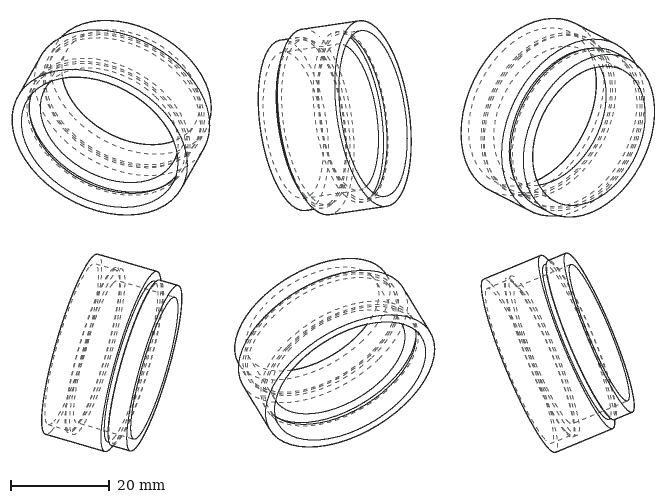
import cadquery as cq

body_diameter = 38.1
collar_diameter = 35.0
groove_diameter = 34.02
bore_diameter = 30.0
counterbore_diameter = 34.02
undercut_diameter = 35.0

total_length = 17.7
collar_length = 4.0
groove_width = 1.0
counterbore_depth = 5.5
undercut_width = 1.0

front_y = -total_length / 2
back_y = total_length / 2
collar_front_y = back_y - collar_length
body_back_y = collar_front_y - groove_width
shoulder_y = front_y + counterbore_depth


def cylinder(diameter, start_y, end_y):
    """Solid cylinder about the Y axis between two positions."""
    length = end_y - start_y
    return cq.Workplane("XZ", origin=(0, start_y, 0)).circle(diameter / 2).extrude(-length)


body = cylinder(body_diameter, front_y, body_back_y)
groove_floor = cylinder(groove_diameter, body_back_y, collar_front_y)
collar = cylinder(collar_diameter, collar_front_y, back_y)

bore = cylinder(bore_diameter, front_y, back_y)
counterbore = cylinder(counterbore_diameter, front_y, shoulder_y)
undercut = cylinder(undercut_diameter, shoulder_y - undercut_width, shoulder_y)

outside = body.union(groove_floor).union(collar)
result = outside.cut(bore).cut(counterbore).cut(undercut)